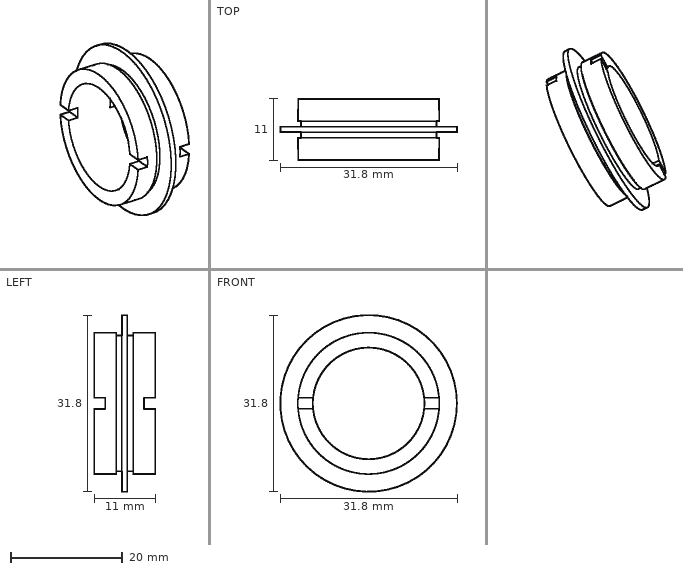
import cadquery as cq

length = 11.0
body_diameter = 25.4
bore_diameter = 20.0
flange_diameter = 31.75
flange_thickness = 1.0
relief_depth = 0.5
relief_width = 1.0
slot_width = 2.0
slot_depth = 2.0

neck_diameter = body_diameter - 2 * relief_depth
neck_length = flange_thickness + 2 * relief_width


def disc(diameter, thickness):
    """Cylinder about the Y axis, centred on the origin."""
    return cq.Workplane("XZ", origin=(0, thickness / 2, 0)).circle(diameter / 2).extrude(thickness)


def relieved_body():
    """Cylindrical body with a shallow groove around its middle."""
    groove = disc(body_diameter, neck_length).cut(disc(neck_diameter, neck_length))
    return disc(body_diameter, length).cut(groove)


def end_slot(side):
    """Slot straight across one end face along X; side is -1 or +1 along Y."""
    slot_center = side * (length - slot_depth) / 2
    return (
        cq.Workplane("XY")
        .box(flange_diameter, slot_depth, slot_width)
        .translate((0, slot_center, 0))
    )


result = relieved_body().union(disc(flange_diameter, flange_thickness))
result = result.cut(disc(bore_diameter, length))
for side in (-1, 1):
    result = result.cut(end_slot(side))